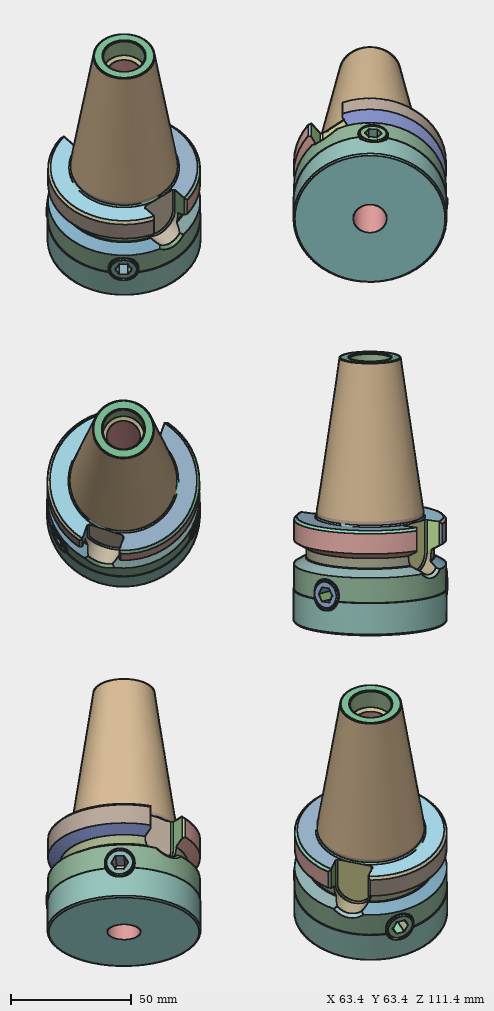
import cadquery as cq
import math

TOTAL_HEIGHT = 111.4
SEAM_Z = 13.9
COLLAR_TOP_Z = 24.4
FLANGE_BOTTOM_Z = 34.5
FLANGE_TOP_Z = 44.1
TAPER_START_Z = 46.3

BOTTOM_COLLAR_R = 31.7
COLLAR_R = 31.5
NECK_R = 26.5
GAUGE_R = 22.2
TAPER = 7 / 24
GROOVE_WALL_ANGLE = 30.0

BOTTOM_CHAMFER = 0.7
SEAM_CHAMFER = BOTTOM_COLLAR_R - COLLAR_R
FLANGE_CHAMFER = 1.1
NECK_BEVEL = 0.2
GAUGE_FILLET = 0.7
TIP_CHAMFER = 0.3

BORE_R = 6.9
PILOT_R = 8.6
PILOT_DEPTH = 8.8
PILOT_CHAMFER = 0.5
PILOT_FLOOR_ANGLE = 60.0

SLOT_HALF_WIDTH = 8.0
SLOT_CENTER_Z = 31.2
SLOT_FLOOR_X = 22.6
SLOT_FLOOR_CHAMFER = 0.7
FLANGE_MOUTH_CHAMFER = 1.1
COLLAR_MOUTH_CHAMFER = 1.3
EDGE_MARGIN = 1.1

SCREW_ANGLES = (90.0, -40.0, -140.0)
SCREW_Z = 16.2
SCREW_R = 6.0
SCREW_LENGTH = 15.6
SCREW_FACE_R = BOTTOM_COLLAR_R
SCREW_CHAMFER = 0.6
RIM_R = 6.7
RIM_DEPTH = 1.1
HEX_FLATS = 6.0
HEX_DEPTH = 8.9


def turned_body():
    groove_slope = math.tan(math.radians(GROOVE_WALL_ANGLE))
    groove_rise = groove_slope * (COLLAR_R - NECK_R)
    tip_r = GAUGE_R - (TOTAL_HEIGHT - TAPER_START_Z) * TAPER / 2
    pilot_floor_z = TOTAL_HEIGHT - PILOT_DEPTH
    pilot_cone = (PILOT_R - BORE_R) / math.tan(math.radians(PILOT_FLOOR_ANGLE))
    return (
        cq.Workplane("XZ")
        .moveTo(BORE_R, 0)
        .lineTo(BOTTOM_COLLAR_R - BOTTOM_CHAMFER, 0)
        .lineTo(BOTTOM_COLLAR_R, BOTTOM_CHAMFER)
        .lineTo(BOTTOM_COLLAR_R, SEAM_Z - SEAM_CHAMFER)
        .lineTo(COLLAR_R, SEAM_Z)
        .lineTo(COLLAR_R, COLLAR_TOP_Z)
        .lineTo(NECK_R + NECK_BEVEL, COLLAR_TOP_Z + groove_rise - NECK_BEVEL * groove_slope)
        .lineTo(NECK_R, COLLAR_TOP_Z + groove_rise + NECK_BEVEL)
        .lineTo(NECK_R, FLANGE_BOTTOM_Z - groove_rise)
        .lineTo(COLLAR_R, FLANGE_BOTTOM_Z)
        .lineTo(COLLAR_R, FLANGE_TOP_Z - FLANGE_CHAMFER)
        .lineTo(COLLAR_R - FLANGE_CHAMFER, FLANGE_TOP_Z)
        .lineTo(GAUGE_R + GAUGE_FILLET, FLANGE_TOP_Z)
        .radiusArc((GAUGE_R, FLANGE_TOP_Z + GAUGE_FILLET), GAUGE_FILLET)
        .lineTo(GAUGE_R, TAPER_START_Z)
        .lineTo(tip_r + TIP_CHAMFER * TAPER / 2, TOTAL_HEIGHT - TIP_CHAMFER)
        .lineTo(tip_r - TIP_CHAMFER, TOTAL_HEIGHT)
        .lineTo(PILOT_R + PILOT_CHAMFER, TOTAL_HEIGHT)
        .lineTo(PILOT_R, TOTAL_HEIGHT - PILOT_CHAMFER)
        .lineTo(PILOT_R, pilot_floor_z)
        .lineTo(BORE_R, pilot_floor_z - pilot_cone)
        .close()
        .revolve(360, (0, 0, 0), (0, 1, 0))
    )


def slot_prism(start_x, half_width, length, taper=0):
    """U-shaped prism running along +X, open at the flange top."""
    return (
        cq.Workplane("YZ", origin=(start_x, 0, 0))
        .moveTo(-half_width, TAPER_START_Z)
        .lineTo(-half_width, SLOT_CENTER_Z)
        .threePointArc((0, SLOT_CENTER_Z - half_width), (half_width, SLOT_CENTER_Z))
        .lineTo(half_width, TAPER_START_Z)
        .close()
        .extrude(length, taper=taper)
    )


def drive_slot(side):
    """Cutter for the slot on one side (-1 or +1), with a bevel around its flat floor."""
    channel_x = SLOT_FLOOR_X + SLOT_FLOOR_CHAMFER
    floor_half_width = SLOT_HALF_WIDTH - SLOT_FLOOR_CHAMFER
    floor_bevel = slot_prism(SLOT_FLOOR_X, floor_half_width, SLOT_FLOOR_CHAMFER, taper=-45)
    channel = slot_prism(channel_x, SLOT_HALF_WIDTH, BOTTOM_COLLAR_R - channel_x)
    cutter = floor_bevel.union(channel)
    return cutter if side > 0 else cutter.mirror("YZ")


def edges_in_box(x_span, y_span, z_span):
    """Selector for the edges whose centres lie inside the given spans."""
    low, high = zip(sorted(x_span), y_span, z_span)
    return cq.selectors.BoxSelector(low, high)


def bevel_slot_mouth(body, side):
    """Chamfer the outer edges of the slot on one side (-1 or +1) of the holder."""
    x_span = (side * (COLLAR_R - 2 * EDGE_MARGIN), side * (COLLAR_R + EDGE_MARGIN))
    flange_span = (FLANGE_BOTTOM_Z + EDGE_MARGIN, FLANGE_TOP_Z - FLANGE_CHAMFER - EDGE_MARGIN)
    for wall_y in (-SLOT_HALF_WIDTH, SLOT_HALF_WIDTH):
        wall_span = (wall_y - EDGE_MARGIN, wall_y + EDGE_MARGIN)
        body = body.edges(edges_in_box(x_span, wall_span, flange_span)).chamfer(FLANGE_MOUTH_CHAMFER)

    slot_span = (-SLOT_HALF_WIDTH, SLOT_HALF_WIDTH)
    collar_span = (SLOT_CENTER_Z - SLOT_HALF_WIDTH - EDGE_MARGIN, COLLAR_TOP_Z)
    return body.edges(edges_in_box(x_span, slot_span, collar_span)).chamfer(COLLAR_MOUTH_CHAMFER)


def at_screw(angle, body):
    """Move a body modelled along +Z from a screw face to its place on the collar."""
    return (
        body.rotate((0, 0, 0), (0, 1, 0), 90)
        .translate((SCREW_FACE_R, 0, SCREW_Z))
        .rotate((0, 0, 0), (0, 0, 1), angle)
    )


def screw_hole(angle):
    """Blind hole for a screw, with a conical rim."""
    rim_z = COLLAR_R - SCREW_FACE_R
    return at_screw(
        angle,
        cq.Workplane("XZ")
        .moveTo(0, -SCREW_LENGTH)
        .lineTo(SCREW_R, -SCREW_LENGTH)
        .lineTo(SCREW_R, rim_z - RIM_DEPTH)
        .lineTo(RIM_R, rim_z)
        .lineTo(RIM_R, BOTTOM_COLLAR_R - SCREW_FACE_R)
        .lineTo(0, BOTTOM_COLLAR_R - SCREW_FACE_R)
        .close()
        .revolve(360, (0, 0, 0), (0, 1, 0)),
    )


def screw(angle):
    body = cq.Workplane("XY").circle(SCREW_R).extrude(-SCREW_LENGTH)
    body = body.faces(">Z").chamfer(SCREW_CHAMFER)
    hex_corners = HEX_FLATS / math.cos(math.radians(30))
    socket = cq.Workplane("XY").polygon(6, hex_corners).extrude(-HEX_DEPTH)
    socket = socket.rotate((0, 0, 0), (0, 0, 1), 90)
    return at_screw(angle, body.cut(socket))


holder = turned_body()
for slot_side in (-1, 1):
    holder = holder.cut(drive_slot(slot_side))
    holder = bevel_slot_mouth(holder, slot_side)
for screw_angle in SCREW_ANGLES:
    holder = holder.cut(screw_hole(screw_angle))

screws = [screw(screw_angle).val() for screw_angle in SCREW_ANGLES]

result = cq.Compound.makeCompound([holder.val(), *screws])